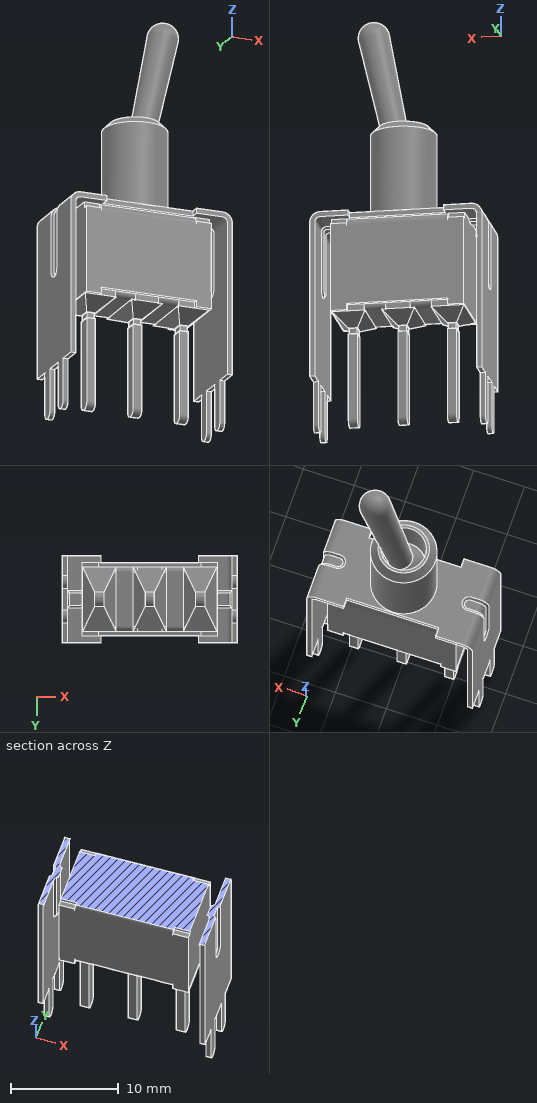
import cadquery as cq
import math


bracket_length = 16.25
bracket_width = 8.1
bracket_top = 20.7
sheet = 0.5
bend_radius = 1.0
leg_bottom = 4.75
leg_pin_width = 1.25
leg_pin_offset = 1.6
side_notch_length = 9.05
side_notch_width = 6.35

rib_depth = 0.2
rib_groove_width = 1.35
rib_bump_width = 1.65
rib_draft_inset = 0.25
rib_end_x = 5.75
rib_bottom = 13.5

housing_length = 12.6
housing_width = 6.8
housing_bottom = 11.25
housing_top = bracket_top - sheet
shoulder_height = 19.65
shoulder_depth = 0.5
tab_length = 9.55
tab_bend_radius = 0.75
recess_length = 9.55
recess_top = 11.85
recess_depth = 0.4
core_round = 0.48
middle_block_length = 2.3
outer_block_length = 1.6

terminal_pitch = 4.68
terminal_thickness = 0.88
terminal_width = 1.35
terminal_bottom = 0.8
terminal_corner_radius = 0.6
neck_bottom = 9.7
neck_thickness = 0.75
neck_width = 1.1
standoff_bottom = 10.27
standoff_length = 3.1

bushing_diameter = 6.2
bushing_top = 29.58
bushing_chamfer = 0.7
bore_diameter = 4.2
pivot_height = 25.25
ball_radius = 2.08
lever_tilt = 12.0
lever_base_radius = 1.15
lever_tip_radius = 1.48
total_height = 39.97


def block(length, width, bottom, top, x=0.0, y=0.0):
    """Box centred on (x, y) between two heights."""
    box = cq.Workplane("XY").box(length, width, top - bottom, centered=(True, True, False))
    return box.translate((x, y, bottom))


def make_rib(offset, width):
    """Drafted rib on the +X side, `offset` inside the bracket's outer face and following the bend."""
    outer_x = bracket_length / 2 - offset
    outer_z = bracket_top - offset
    bend_x = bracket_length / 2 - bend_radius
    bend_z = bracket_top - bend_radius
    draft = math.degrees(math.atan2(rib_draft_inset, rib_depth))

    leg_slot_length = 2 * (bend_z - rib_bottom)
    leg_run = (
        cq.Workplane("YZ", origin=(outer_x, 0, bend_z))
        .slot2D(leg_slot_length, width, 90)
        .extrude(-rib_depth, taper=draft)
        .intersect(block(bracket_length, bracket_width, 0, bend_z))
    )
    top_slot_length = 2 * (bend_x - rib_end_x)
    top_run = (
        cq.Workplane("XY", origin=(bend_x, 0, outer_z))
        .slot2D(top_slot_length, width)
        .extrude(-rib_depth, taper=draft)
        .intersect(block(bend_x, bracket_width, 0, bracket_top, bend_x / 2))
    )
    outer_radius = bend_radius - offset
    inner_radius = outer_radius - rib_depth
    tip_width = width - 2 * rib_draft_inset
    bend = (
        cq.Workplane("XY", origin=(bend_x, 0, bend_z))
        .moveTo(outer_radius, -width / 2)
        .lineTo(outer_radius, width / 2)
        .lineTo(inner_radius, tip_width / 2)
        .lineTo(inner_radius, -tip_width / 2)
        .close()
        .revolve(90, (0, 0), (0, -1))
    )
    return leg_run.union(bend).union(top_run)


def make_bracket_half():
    outer_x = bracket_length / 2
    outer = (
        block(outer_x, bracket_width, leg_bottom, bracket_top, outer_x / 2)
        .edges("|Y and >X and >Z")
        .fillet(bend_radius)
    )
    inner_x = outer_x - sheet
    inner = (
        block(inner_x, bracket_width, leg_bottom, bracket_top - sheet, inner_x / 2)
        .edges("|Y and >X and >Z")
        .fillet(bend_radius - sheet)
    )
    half = outer.cut(inner)
    for y in (-leg_pin_offset, leg_pin_offset):
        pin = block(sheet, leg_pin_width, leg_pin_width / 2, leg_bottom, outer_x - sheet / 2, y)
        pin_tip = (
            cq.Workplane("YZ", origin=(inner_x, y, leg_pin_width / 2))
            .circle(leg_pin_width / 2)
            .extrude(sheet)
        )
        half = half.union(pin).union(pin_tip)
    bump = make_rib(sheet, rib_bump_width)
    groove = make_rib(0, rib_groove_width)
    return half.union(bump).cut(groove)


def make_bracket():
    half = make_bracket_half()
    bracket = half.union(half.mirror("YZ"))
    notch_depth = (bracket_width - side_notch_width) / 2
    for side in (-1, 1):
        y = side * (side_notch_width + notch_depth) / 2
        bracket = bracket.cut(block(side_notch_length, notch_depth, housing_top, bracket_top, 0, y))
    return bracket


def make_housing():
    housing = block(housing_length, housing_width, housing_bottom, shoulder_height)
    shoulder_width = housing_width - 2 * shoulder_depth
    housing = housing.union(block(housing_length, shoulder_width, shoulder_height, housing_top))
    tab_bottom = housing_top - tab_bend_radius
    housing = housing.cut(block(tab_length, housing_width, tab_bottom, housing_top))
    tabs = block(tab_length, housing_width, housing_bottom, housing_top)
    housing = housing.union(tabs.edges("|X and >Z").fillet(tab_bend_radius))
    housing = housing.cut(block(recess_length, housing_width, housing_bottom, recess_top))
    core_width = housing_width - 2 * recess_depth
    core = block(recess_length, core_width, housing_bottom, recess_top)
    housing = housing.union(core.edges("|X and <Z").fillet(core_round))
    outer_x = (recess_length - outer_block_length) / 2
    housing = housing.union(block(middle_block_length, core_width, housing_bottom, recess_top))
    for x in (-outer_x, outer_x):
        housing = housing.union(block(outer_block_length, core_width, housing_bottom, recess_top, x))
    return housing


def make_terminal():
    """Tapered standoff, neck and flat pin of the middle terminal."""
    standoff = (
        cq.Workplane("XY", origin=(0, 0, housing_bottom))
        .rect(standoff_length, housing_width - 2 * recess_depth)
        .workplane(offset=standoff_bottom - housing_bottom)
        .rect(terminal_thickness, terminal_width)
        .loft(ruled=True)
    )
    neck = block(neck_thickness, neck_width, neck_bottom, standoff_bottom)
    pin = block(terminal_thickness, terminal_width, terminal_bottom, neck_bottom)
    pin = pin.edges("|X and <Z").fillet(terminal_corner_radius)
    return standoff.union(neck).union(pin)


def make_bushing():
    bushing = (
        cq.Workplane("XY", origin=(0, 0, housing_top))
        .circle(bushing_diameter / 2)
        .extrude(bushing_top - housing_top)
        .faces(">Z")
        .chamfer(bushing_chamfer)
    )
    bore = (
        cq.Workplane("XY", origin=(0, 0, pivot_height))
        .circle(bore_diameter / 2)
        .extrude(bushing_top - pivot_height)
    )
    return bushing.cut(bore)


def make_lever():
    """Ball with a tapered, round-ended handle tilted towards +X about the ball's centre."""
    tip_height = total_height - lever_tip_radius - pivot_height
    length = tip_height / math.cos(math.radians(lever_tilt))
    handle = (
        cq.Workplane("XZ")
        .lineTo(lever_base_radius, 0)
        .lineTo(lever_tip_radius, length)
        .radiusArc((0, length + lever_tip_radius), -lever_tip_radius)
        .close()
        .revolve(360, (0, 0), (0, 1))
        .rotate((0, 0, 0), (0, 1, 0), lever_tilt)
    )
    ball = cq.Workplane("XY").sphere(ball_radius)
    return ball.union(handle).translate((0, 0, pivot_height))


result = make_bracket().union(make_housing())
terminal = make_terminal()
for position in (-1, 0, 1):
    result = result.union(terminal.translate((position * terminal_pitch, 0, 0)))
result = result.union(make_bushing()).union(make_lever())